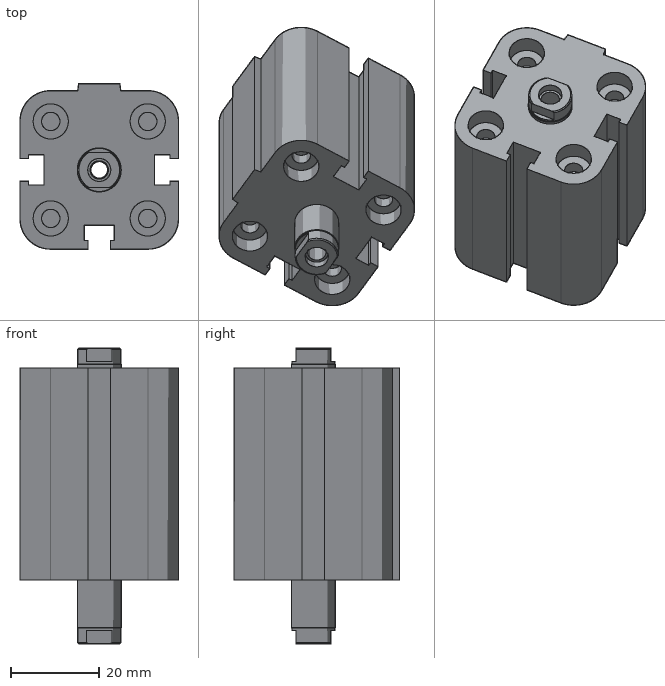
import cadquery as cq

housing_width = 36.0
housing_length = 48.05
corner_radius = 7.0

rail_height = 1.55
rail_root_width = 9.8
rail_tip_width = 9.4

slot_mouth_width = 5.1
slot_inner_width = 6.8
slot_lip_thickness = 2.0
slot_depth = 5.4

screw_offset = 11.0
recess_diameter = 8.0
recess_depth = 4.7
screw_hole_diameter = 4.15
screw_hole_depth = 8.05

overall_length = 67.0
rod_top_extension = 4.5
rod_bottom_extension = overall_length - housing_length - rod_top_extension
rod_diameter = 10.0
rod_end_diameter = 9.8
rod_end_length = 3.55
rod_end_chamfer = 0.3
shoulder_bevel_length = 0.2
flat_length = 3.0
width_across_flats = 8.0
rod_bore_diameter = 3.75
thread_hole_diameter = 4.15
thread_hole_depth = 10.05
rod_counterbore_diameter = 5.2
rod_counterbore_depth = 2.0

half_width = housing_width / 2
rod_bottom = -rod_bottom_extension
rod_top = rod_bottom + overall_length
rod_middle = (rod_bottom + rod_top) / 2


def make_rail():
    """Rail along the +Y side; its sides taper towards the tip."""
    return (
        cq.Workplane("XY")
        .polyline([
            (-rail_root_width / 2, half_width),
            (-rail_tip_width / 2, half_width + rail_height),
            (rail_tip_width / 2, half_width + rail_height),
            (rail_root_width / 2, half_width),
        ])
        .close()
        .extrude(housing_length)
    )


def make_slot_cutter(angle):
    """T-slot cutter for the -Y side, turned about Z by the angle in degrees."""
    inner_depth = slot_depth - slot_lip_thickness
    mouth = (
        cq.Workplane("XY")
        .center(0, -half_width + slot_depth / 2)
        .rect(slot_mouth_width, slot_depth)
        .extrude(housing_length)
    )
    inner = (
        cq.Workplane("XY")
        .center(0, -half_width + slot_lip_thickness + inner_depth / 2)
        .rect(slot_inner_width, inner_depth)
        .extrude(housing_length)
    )
    return mouth.union(inner).rotate((0, 0, 0), (0, 0, 1), angle)


def make_housing():
    """Profiled housing with a bore that the rod fills."""
    housing = (
        cq.Workplane("XY")
        .rect(housing_width, housing_width)
        .extrude(housing_length)
        .edges("|Z")
        .fillet(corner_radius)
        .union(make_rail())
    )
    for angle in (-90, 0, 90):
        housing = housing.cut(make_slot_cutter(angle))

    for end_face in (">Z", "<Z"):
        housing = (
            housing.faces(end_face)
            .workplane(origin=(0, 0, 0))
            .rect(2 * screw_offset, 2 * screw_offset, forConstruction=True)
            .vertices()
            .cboreHole(screw_hole_diameter, recess_diameter, recess_depth, screw_hole_depth)
        )

    rod_bore = cq.Workplane("XY").circle(rod_diameter / 2).extrude(housing_length)
    return housing.cut(rod_bore)


def make_rod_end():
    """Upper half of the rod, with a narrower end, two wrench flats and a stepped bore."""
    half_length = rod_top - rod_middle
    end = (
        cq.Workplane("XY", origin=(0, 0, rod_top - rod_end_length))
        .circle(rod_end_diameter / 2)
        .extrude(rod_end_length)
        .faces(">Z")
        .chamfer(rod_end_chamfer)
    )
    flats_envelope = (
        cq.Workplane("XY", origin=(0, 0, rod_top - flat_length))
        .rect(rod_diameter, width_across_flats)
        .extrude(flat_length)
    )
    shank_length = half_length - flat_length
    shank_envelope = (
        cq.Workplane("XY", origin=(0, 0, rod_middle))
        .rect(rod_diameter, rod_diameter)
        .extrude(shank_length)
    )
    return (
        cq.Workplane("XY", origin=(0, 0, rod_middle))
        .circle(rod_diameter / 2)
        .extrude(half_length - rod_end_length)
        .faces(">Z")
        .chamfer(shoulder_bevel_length, (rod_diameter - rod_end_diameter) / 2)
        .union(end)
        .intersect(flats_envelope.union(shank_envelope))
        .faces(">Z")
        .workplane(origin=(0, 0, 0))
        .cboreHole(thread_hole_diameter, rod_counterbore_diameter, rod_counterbore_depth, thread_hole_depth)
        .faces(">Z")
        .workplane(origin=(0, 0, 0))
        .hole(rod_bore_diameter)
    )


def make_rod():
    """Hollow rod, the same at both ends."""
    upper_half = make_rod_end()
    lower_half = upper_half.mirror("XY", (0, 0, rod_middle))
    return upper_half.union(lower_half)


housing = make_housing()
rod = make_rod()

result = cq.Compound.makeCompound([housing.val(), rod.val()])